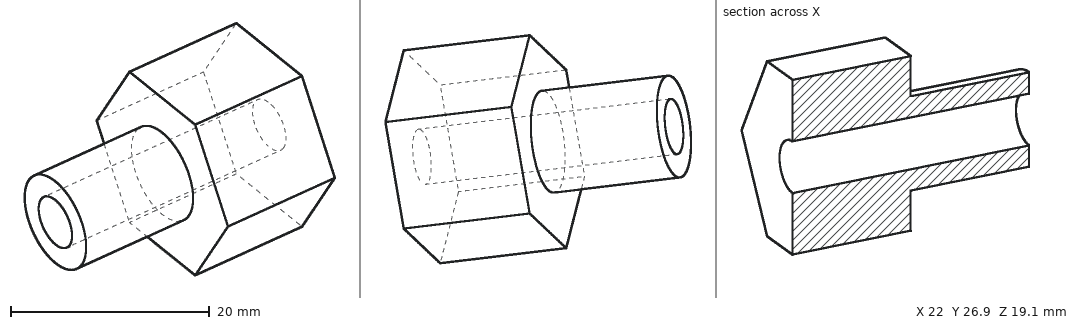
import cadquery as cq
import math

total_length = 26.92
head_length = total_length / 2
across_flats = 19.05
across_corners = across_flats / math.cos(math.pi / 6)
shank_diameter = 10.35
bore_diameter = 5.6

head = cq.Workplane("XZ").polygon(6, across_corners).extrude(-head_length)
shank = cq.Workplane("XZ").circle(shank_diameter / 2).extrude(total_length - head_length)

bore = (
    cq.Workplane("XZ", origin=(0, head_length, 0))
    .circle(bore_diameter / 2)
    .extrude(total_length)
)

result = head.union(shank).cut(bore)